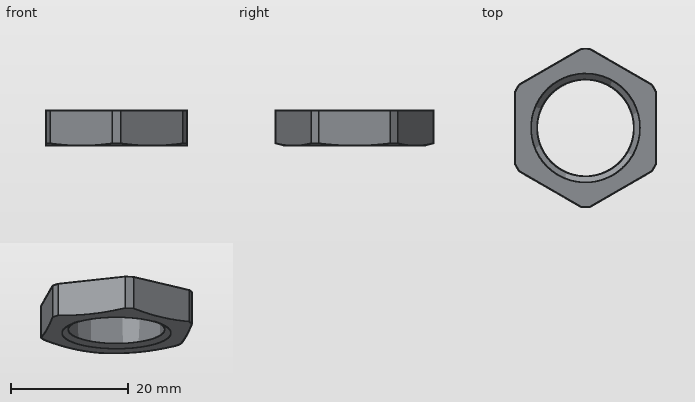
import cadquery as cq
import math

corner_count = 6
across_flats = 24.0
height = 6.0
corner_diameter = 26.9

bore_diameter = 16.38
countersink_diameter = 18.5
countersink_angle = 60.0

bearing_diameter = 23.9
bearing_chamfer_angle = 15.0


def hexagon_body():
    """Hexagonal prism with two flats facing +X and -X."""
    across_corners = across_flats / math.cos(math.pi / corner_count)
    hexagon = cq.Workplane("XY").polygon(corner_count, across_corners).extrude(height)
    return hexagon.rotate((0, 0, 0), (0, 0, 1), 180 / corner_count)


def turned_envelope():
    """Solid of revolution that rounds the corners and bevels the bottom edge."""
    corner_radius = corner_diameter / 2
    bearing_radius = bearing_diameter / 2
    bevel_height = (corner_radius - bearing_radius) * math.tan(math.radians(bearing_chamfer_angle))
    profile = [
        (0, 0),
        (bearing_radius, 0),
        (corner_radius, bevel_height),
        (corner_radius, height),
        (0, height),
    ]
    return cq.Workplane("XZ").polyline(profile).close().revolve(360, (0, 0), (0, 1))


def countersunk_bore():
    """Through bore with a conical countersink at each end."""
    bore_radius = bore_diameter / 2
    mouth_radius = countersink_diameter / 2
    countersink_depth = (mouth_radius - bore_radius) / math.tan(math.radians(countersink_angle))
    profile = [
        (0, 0),
        (mouth_radius, 0),
        (bore_radius, countersink_depth),
        (bore_radius, height - countersink_depth),
        (mouth_radius, height),
        (0, height),
    ]
    return cq.Workplane("XZ").polyline(profile).close().revolve(360, (0, 0), (0, 1))


result = hexagon_body().intersect(turned_envelope()).cut(countersunk_bore())